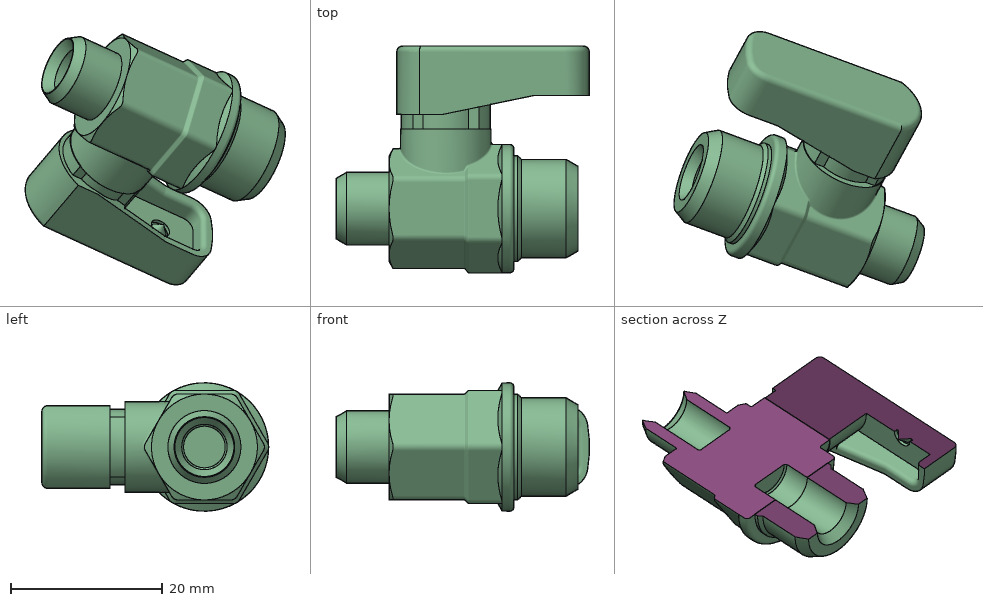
import cadquery as cq
import math


cutter_clearance = 1.0
hex_sides = 6
hex_half_sector = 180 / hex_sides
bevel_slope = math.tan(math.radians(30))

inlet_end = -14.5
hex_start = -7.5
step_start = 2.5
step_end = 3.0
flange_start = 7.45
flange_end = 9.0

small_hex_flats = 14.0
large_hex_flats = 15.0
hex_edge_radius = 1.0
step_blend = 0.15
flange_radius = 8.5
flange_fillet = 0.55
hex_face_radius = 7.0
inlet_thread_radius = 4.82
inlet_chamfer_length = 1.4

bore_radius = 3.0
mouth_radius = 3.9
mouth_depth = 1.4
bore_bottom_chamfer = 0.25
bore_bottom = 5.0

neck_radius = 6.0
neck_top = 10.5
neck_blend = 0.25

outlet_end = 17.5
collar_radius = 7.0
collar_straight = 0.5
collar_length = 1.0
outlet_thread_radius = 6.52
outlet_chamfer_length = 1.6

handle_top = 21.5
handle_hub_bottom = 12.45
handle_tip_bottom = 14.95
slope_start = -0.45
slope_end = 11.7
handle_half_width = 5.48
handle_back_radius = 6.5
handle_tip = 19.0
handle_tip_radius = 18.0
handle_corner_radius = 3.0
handle_top_fillet = 0.8

pocket_wall = 1.5
pocket_half_width = handle_half_width - pocket_wall
pocket_roof = 17.5
pocket_mouth_fillet = 0.7

hub_radius = 5.0
lug_radius = 5.9
lug_half_width = pocket_half_width
lug_corner_x = math.sqrt(lug_radius**2 - lug_half_width**2)

pip_x = 12.45
recess_radius = 1.4
recess_depth = 0.5
pip_radius = 1.15
pip_height = 1.3


def turned(points):
    """Solid of revolution about the X axis from (x, radius) points."""
    return cq.Workplane("XY").polyline(points).close().revolve(360, (0, 0, 0), (1, 0, 0))


def hex_outline(across_flats):
    """Hexagon with rounded corners, two of which point along +Y and -Y."""
    corner_radius = across_flats / 2 / math.cos(math.radians(hex_half_sector))
    hexagon = cq.Sketch().regularPolygon(corner_radius, hex_sides, hex_half_sector)
    return hexagon.vertices().fillet(hex_edge_radius)


def hex_bar(across_flats, start, end):
    """Straight hexagonal bar along X."""
    plane = cq.Workplane("YZ", origin=(start, 0, 0))
    return plane.placeSketch(hex_outline(across_flats)).extrude(end - start)


def hex_step():
    """Sloping shoulder that widens the small hexagon to the large one."""
    length = step_end - step_start
    small_outline = hex_outline(small_hex_flats)
    large_outline = hex_outline(large_hex_flats).moved(cq.Location(cq.Vector(0, 0, length)))
    plane = cq.Workplane("YZ", origin=(step_start, 0, 0))
    return plane.placeSketch(small_outline, large_outline).loft(ruled=True)


def bore(mouth_x, bottom_x):
    """Blind bore along X with a conical mouth and a chamfered bottom."""
    inward = math.copysign(1, bottom_x - mouth_x)
    return turned(
        [
            (mouth_x, 0),
            (mouth_x, mouth_radius),
            (mouth_x + inward * mouth_depth, bore_radius),
            (bottom_x - inward * bore_bottom_chamfer, bore_radius),
            (bottom_x, bore_radius - bore_bottom_chamfer),
            (bottom_x, 0),
        ]
    )


def bevel_envelope():
    """Turned blank that bevels the corners of the small hexagon's end."""
    outer_radius = flange_radius + cutter_clearance
    bevel_length = (outer_radius - hex_face_radius) * bevel_slope
    return turned(
        [
            (hex_start, 0),
            (hex_start, hex_face_radius),
            (hex_start + bevel_length, outer_radius),
            (flange_start, outer_radius),
            (flange_start, 0),
        ]
    )


def hex_section():
    """Small hexagon, shoulder and large hexagon, with the shoulder blended into both."""
    bar = (
        hex_bar(small_hex_flats, hex_start, step_start)
        .union(hex_step())
        .union(hex_bar(large_hex_flats, step_end, flange_start))
    )
    shoulder = cq.selectors.BoxSelector(
        (step_start - step_blend, -flange_radius, -flange_radius),
        (step_end + step_blend, flange_radius, flange_radius),
    )
    shoulder_edges = bar.edges(shoulder).edges("#X")
    return shoulder_edges.fillet(step_blend).intersect(bevel_envelope())


def flange():
    """Round flange with a cone running back onto the hexagon flats and a rounded outlet rim."""
    cone_foot_radius = small_hex_flats / 2
    cone_length = (flange_radius - cone_foot_radius) * bevel_slope
    disc = turned(
        [
            (flange_start - cone_length, 0),
            (flange_start - cone_length, cone_foot_radius),
            (flange_start, flange_radius),
            (flange_end, flange_radius),
            (flange_end, 0),
        ]
    )
    return disc.faces(">X").edges().fillet(flange_fillet)


def inlet_thread():
    """Plain cylinder of the male inlet thread with its end bevel."""
    bevel_depth = inlet_chamfer_length * bevel_slope
    return turned(
        [
            (inlet_end, 0),
            (inlet_end, inlet_thread_radius - bevel_depth),
            (inlet_end + inlet_chamfer_length, inlet_thread_radius),
            (hex_start, inlet_thread_radius),
            (hex_start, 0),
        ]
    )


def neck():
    """Round neck rising along +Y from the pipe axis."""
    return cq.Workplane("XZ").circle(neck_radius).extrude(-neck_top)


def make_body():
    """Body with hexagons, neck, flange, inlet thread and a blind bore at each end."""
    solid = hex_section().union(neck())
    neck_wall = solid.faces(cq.selectors.NearestToPointSelector((0, large_hex_flats / 2, 0)))
    solid = neck_wall.edges("not(|Y or >Y)").fillet(neck_blend)
    solid = solid.union(flange()).union(inlet_thread())
    return solid.cut(bore(inlet_end, -bore_bottom)).cut(bore(outlet_end, bore_bottom))


def make_nipple():
    """Outlet nipple: a collar against the flange, then the bevelled male thread."""
    bevel_depth = outlet_chamfer_length * bevel_slope
    collar_end = flange_end + collar_length
    solid = turned(
        [
            (flange_end, 0),
            (flange_end, collar_radius),
            (flange_end + collar_straight, collar_radius),
            (collar_end, outlet_thread_radius),
            (outlet_end - outlet_chamfer_length, outlet_thread_radius),
            (outlet_end, outlet_thread_radius - bevel_depth),
            (outlet_end, 0),
        ]
    )
    return solid.cut(bore(outlet_end, bore_bottom))


def handle_blank():
    """Lever outline: round at the stem, slightly bowed at the tip, extruded along Y."""
    back_x = -math.sqrt(handle_back_radius**2 - handle_half_width**2)
    bow = handle_tip_radius - math.sqrt(handle_tip_radius**2 - handle_half_width**2)
    corner_x = handle_tip - bow
    return (
        cq.Workplane("XZ", origin=(0, handle_hub_bottom, 0))
        .moveTo(back_x, handle_half_width)
        .lineTo(corner_x, handle_half_width)
        .threePointArc((handle_tip, 0), (corner_x, -handle_half_width))
        .lineTo(back_x, -handle_half_width)
        .threePointArc((-handle_back_radius, 0), (back_x, handle_half_width))
        .close()
        .extrude(handle_hub_bottom - handle_top)
        .edges("|Y")
        .edges(">X")
        .fillet(handle_corner_radius)
        .faces(">Y")
        .edges()
        .fillet(handle_top_fillet)
    )


def under_slope():
    """Material removed below the lever so that its underside rises toward the tip."""
    clear_x = handle_tip + cutter_clearance
    return (
        cq.Workplane("XY", origin=(0, 0, -handle_back_radius))
        .polyline(
            [
                (slope_start, handle_hub_bottom),
                (slope_end, handle_tip_bottom),
                (clear_x, handle_tip_bottom),
                (clear_x, handle_hub_bottom),
            ]
        )
        .close()
        .extrude(2 * handle_back_radius)
    )


def pocket():
    """Hollow under the lever, starting where the stop lug leaves the lever."""
    end_x = handle_tip - pocket_wall
    return (
        cq.Workplane("XY", origin=(lug_corner_x, handle_hub_bottom, 0))
        .box(
            end_x - lug_corner_x,
            pocket_roof - handle_hub_bottom,
            2 * pocket_half_width,
            centered=(False, False, True),
        )
        .edges("|Y")
        .edges(">X")
        .fillet(handle_corner_radius - pocket_wall)
    )


def make_lever():
    """Hollow lever with a rounded pocket mouth."""
    lever = handle_blank().cut(under_slope()).cut(pocket())
    mouth_half_width = pocket_half_width + pocket_mouth_fillet / 4
    mouth = cq.selectors.BoxSelector(
        (lug_corner_x + pocket_wall, handle_hub_bottom, -mouth_half_width),
        (handle_tip - pocket_wall / 2, handle_tip_bottom + pocket_mouth_fillet / 2, mouth_half_width),
    )
    return lever.edges(mouth).fillet(pocket_mouth_fillet)


def hub():
    """Round hub with two stop lugs along X, standing on the neck."""
    outline = cq.Workplane("XZ", origin=(0, neck_top, 0))
    height = pocket_roof - neck_top
    lugs = outline.circle(lug_radius).extrude(-height).intersect(
        cq.Workplane("XY").box(2 * neck_radius, 2 * handle_top, 2 * lug_half_width)
    )
    return outline.circle(hub_radius).extrude(-height).union(lugs)


def pip_recess():
    """Shallow round recess in the pocket roof."""
    return cq.Workplane("XZ", origin=(pip_x, pocket_roof, 0)).circle(recess_radius).extrude(-recess_depth)


def pip():
    """Cone standing in the recess with its point toward -Y."""
    base_center = cq.Vector(pip_x, pocket_roof + recess_depth, 0)
    return cq.Workplane(cq.Solid.makeCone(pip_radius, 0, pip_height, base_center, cq.Vector(0, -1, 0)))


def make_handle():
    """Lever and its hub as one solid, with the pip in the pocket roof."""
    return make_lever().union(hub()).cut(pip_recess()).union(pip())


body = make_body()
nipple = make_nipple()
handle = make_handle()

result = cq.Compound.makeCompound([body.val(), nipple.val(), handle.val()])